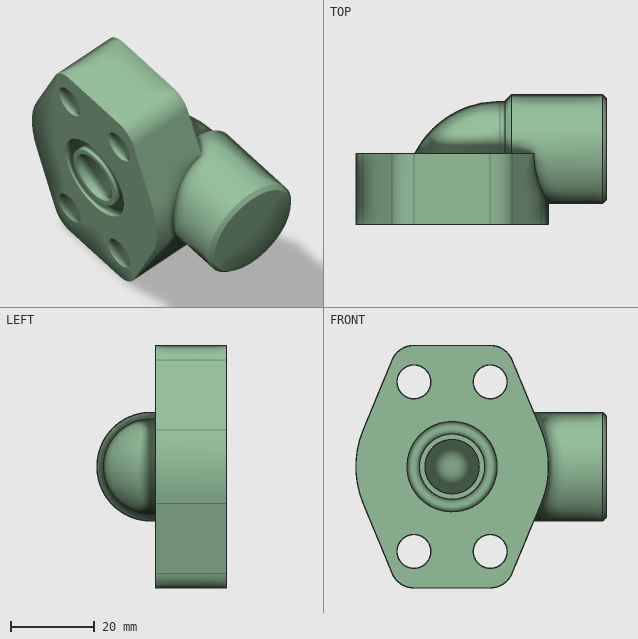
import cadquery as cq
import math

plate_height = 58.0
plate_thickness = 17.0
side_radius = 23.0
flank_angle = math.radians(22.5)
corner_radius = 5.7

bolt_diameter = 8.05
bolt_spacing_x = 18.2
bolt_spacing_z = 40.5

bore_radius = 6.5
groove_inner_radius = 7.8
groove_outer_radius = 10.8
groove_depth = 2.2

outlet_axis_y = 18.05
bend_radius = 11.5
elbow_radius = 11.45
outlet_radius = 13.0
outlet_end_x = 59.95 - side_radius
collar_start_x = 12.6
collar_chamfer = outlet_radius - elbow_radius
end_chamfer = 0.95


def make_plate():
    """Six-sided plate with large side arcs tangent to the sloping flanks."""
    half_height = plate_height / 2
    tangent_x = side_radius * math.cos(flank_angle)
    tangent_z = side_radius * math.sin(flank_angle)
    top_x = tangent_x - (half_height - tangent_z) * math.tan(flank_angle)
    plate = (
        cq.Workplane("XZ")
        .moveTo(-top_x, half_height)
        .lineTo(top_x, half_height)
        .lineTo(tangent_x, tangent_z)
        .threePointArc((side_radius, 0), (tangent_x, -tangent_z))
        .lineTo(top_x, -half_height)
        .lineTo(-top_x, -half_height)
        .lineTo(-tangent_x, -tangent_z)
        .threePointArc((-side_radius, 0), (-tangent_x, tangent_z))
        .close()
        .extrude(-plate_thickness)
    )
    corners = plate.edges("|Y").edges(">Z or <Z")
    return corners.fillet(corner_radius)


def make_elbow():
    """Quarter-torus bend from the plate to the outlet, with a short straight neck."""
    bend_start_y = outlet_axis_y - bend_radius
    bend = (
        cq.Workplane("XZ", origin=(0, bend_start_y, 0))
        .circle(elbow_radius)
        .revolve(90, (bend_radius, 0.6, 0), (bend_radius, -0.6, 0))
    )
    neck = (
        cq.Workplane("YZ", origin=(bend_radius, outlet_axis_y, 0))
        .circle(elbow_radius)
        .extrude(collar_start_x - bend_radius)
    )
    return bend.union(neck)


def make_outlet():
    """Thicker outlet pipe, chamfered at both ends."""
    return (
        cq.Workplane("YZ", origin=(collar_start_x, outlet_axis_y, 0))
        .circle(outlet_radius)
        .extrude(outlet_end_x - collar_start_x)
        .faces("<X")
        .chamfer(collar_chamfer)
        .faces(">X")
        .chamfer(end_chamfer)
    )


def make_front_cuts():
    """Flat-bottomed bore and the ring groove around it."""
    bore = cq.Workplane("XZ").circle(bore_radius).extrude(-plate_thickness)
    groove = (
        cq.Workplane("XZ")
        .circle(groove_outer_radius)
        .circle(groove_inner_radius)
        .extrude(-groove_depth)
    )
    return bore.union(groove)


def make_bolt_holes():
    """Four plain holes through the plate."""
    return (
        cq.Workplane("XZ")
        .rarray(bolt_spacing_x, bolt_spacing_z, 2, 2)
        .circle(bolt_diameter / 2)
        .extrude(-plate_thickness)
    )


body = make_plate().union(make_elbow()).union(make_outlet())
result = body.cut(make_front_cuts()).cut(make_bolt_holes())